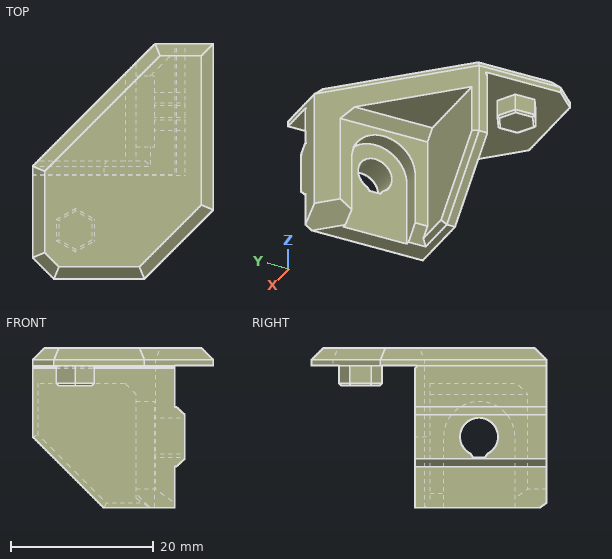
import cadquery as cq
import math


plate_x = 25.4
plate_y = 33.05
total_z = 22.5
plate_thickness = 2.5
plate_bevel = 1.7
front_left_cut = 3.0
front_right_cut = 9.7
back_left_cut = 17.2
underside_z = total_z - plate_thickness
diagonal_start_y = plate_y - back_left_cut

block_x = 20.0
wall_front_y = 14.55
wall_corner_cut = 10.0
wall_edge_chamfer = 0.75
wall_inner_y = diagonal_start_y + wall_edge_chamfer
diagonal_foot_chamfer = 2.68

groove_depth = 0.2
groove_height = 0.2

pocket_floor_x = 14.5
pocket_top_z = 17.5
pocket_roof_chamfer = 1.5
floor_foot_chamfer = 2.05

screw_y = 23.55
screw_z = 10.0
seat_radius = 5.0
seat_floor_x = 17.1
hole_radius = 2.65
notch_bottom_drop = 2.85
notch_bottom_half_width = 0.85
notch_mouth_half_width = 1.2

rail_depth = 1.4
rail_base_half_height = 4.2
rail_tip_half_height = 3.1
rail_straight = 0.2

peg_x = 6.0
peg_y = 6.9
peg_sides = 6
peg_across_corners = 6.1
peg_length = 2.8
peg_chamfer = 0.3


def prism_along_y(points, y_start, y_end):
    """Extrude an XZ outline from y_start to y_end."""
    return cq.Workplane("XZ", origin=(0, y_start, 0)).polyline(points).close().extrude(y_start - y_end)


def make_plate():
    outline = [
        (front_left_cut, 0),
        (plate_x - front_right_cut, 0),
        (plate_x, front_right_cut),
        (plate_x, plate_y),
        (back_left_cut, plate_y),
        (0, diagonal_start_y),
        (0, front_left_cut),
    ]
    underside = cq.Workplane("XY", origin=(0, 0, underside_z))
    blank = underside.polyline(outline).close().extrude(plate_thickness)
    return blank.faces(">Z").chamfer(plate_bevel)


def make_block():
    outline = [
        (0, wall_front_y),
        (block_x, wall_front_y),
        (block_x, plate_y),
        (back_left_cut, plate_y),
        (0, diagonal_start_y),
    ]
    block = cq.Workplane("XY").polyline(outline).close().extrude(underside_z)
    foot_edge_middle = (back_left_cut / 2, diagonal_start_y + back_left_cut / 2, 0)
    return block.edges(cq.NearestToPointSelector(foot_edge_middle)).chamfer(diagonal_foot_chamfer)


def make_pocket():
    outline = [
        (0, 0),
        (pocket_floor_x + floor_foot_chamfer, 0),
        (pocket_floor_x, floor_foot_chamfer),
        (pocket_floor_x, pocket_top_z - pocket_roof_chamfer),
        (pocket_floor_x - pocket_roof_chamfer, pocket_top_z),
        (0, pocket_top_z),
    ]
    upper_outline = [(0, 0), (pocket_floor_x, 0), *outline[3:]]
    front_part = prism_along_y(outline, wall_inner_y, screw_y)
    back_part = prism_along_y(upper_outline, screw_y, plate_y)
    return front_part.union(back_part)


def make_wall_corner_cut():
    corner = [(0, 0), (wall_corner_cut, 0), (0, wall_corner_cut)]
    return prism_along_y(corner, wall_front_y, wall_inner_y)


def make_wall_edge_cuts():
    """Wedges that chamfer the inner sloped edge and the inner lower edge of the front wall."""
    wedge = [
        (diagonal_start_y, 0),
        (wall_inner_y, 0),
        (wall_inner_y, wall_edge_chamfer),
    ]
    foot_outline = [
        (0, 0),
        (pocket_floor_x + floor_foot_chamfer, 0),
        (pocket_floor_x, floor_foot_chamfer),
        (0, floor_foot_chamfer),
    ]
    lower_cut = cq.Workplane("YZ").polyline(wedge).close().extrude(block_x)
    lower_cut = lower_cut.intersect(prism_along_y(foot_outline, diagonal_start_y, wall_inner_y))
    slope_length = wall_corner_cut * math.sqrt(2)
    sloped_cut = (
        cq.Workplane("YZ").polyline(wedge).close().extrude(2 * slope_length)
        .translate((-slope_length / 2, 0, 0))
        .rotate((0, 0, 0), (0, 1, 0), 45)
        .translate((0, 0, wall_corner_cut))
    )
    return lower_cut.union(sloped_cut)


def make_groove():
    outline = [
        (wall_front_y, underside_z),
        (wall_front_y, underside_z - groove_height - groove_depth),
        (wall_front_y + groove_depth, underside_z - groove_height),
        (wall_front_y + groove_depth, underside_z),
    ]
    return cq.Workplane("YZ").polyline(outline).close().extrude(block_x)


def make_screw_seat():
    """Round-topped slot, open at the lower end of the block."""
    return (
        cq.Workplane("YZ")
        .moveTo(screw_y - seat_radius, 0)
        .lineTo(screw_y - seat_radius, screw_z)
        .threePointArc((screw_y, screw_z + seat_radius), (screw_y + seat_radius, screw_z))
        .lineTo(screw_y + seat_radius, 0)
        .close()
        .extrude(seat_floor_x)
    )


def make_screw_hole():
    """Round through hole with a flat-bottomed notch on its lower side."""
    notch_mouth_drop = math.sqrt(hole_radius**2 - notch_mouth_half_width**2)
    notch_outline = [
        (-notch_mouth_half_width, 0),
        (-notch_mouth_half_width, -notch_mouth_drop),
        (-notch_bottom_half_width, -notch_bottom_drop),
        (notch_bottom_half_width, -notch_bottom_drop),
        (notch_mouth_half_width, -notch_mouth_drop),
        (notch_mouth_half_width, 0),
    ]
    sketch_plane = cq.Workplane("YZ", origin=(0, screw_y, screw_z))
    length = block_x + rail_depth
    hole = sketch_plane.circle(hole_radius).extrude(length)
    notch = sketch_plane.polyline(notch_outline).close().extrude(length)
    return hole.union(notch)


def make_rail():
    tip_x = block_x + rail_depth
    taper_x = block_x + rail_straight
    outline = [
        (block_x, screw_z - rail_base_half_height),
        (taper_x, screw_z - rail_base_half_height),
        (tip_x, screw_z - rail_tip_half_height),
        (tip_x, screw_z + rail_tip_half_height),
        (taper_x, screw_z + rail_base_half_height),
        (block_x, screw_z + rail_base_half_height),
    ]
    return prism_along_y(outline, wall_front_y, plate_y)


def make_peg():
    peg = (
        cq.Workplane("XY", origin=(peg_x, peg_y, underside_z))
        .transformed(rotate=(0, 0, 90))
        .polygon(peg_sides, peg_across_corners)
        .extrude(-peg_length)
    )
    return peg.faces("<Z").chamfer(peg_chamfer)


block_cuts = [
    make_pocket(),
    make_wall_corner_cut(),
    make_wall_edge_cuts(),
    make_groove(),
    make_screw_seat(),
]
block = make_block()
for cutter in block_cuts:
    block = block.cut(cutter)
block = block.union(make_rail()).cut(make_screw_hole())

result = make_plate().union(block).union(make_peg())